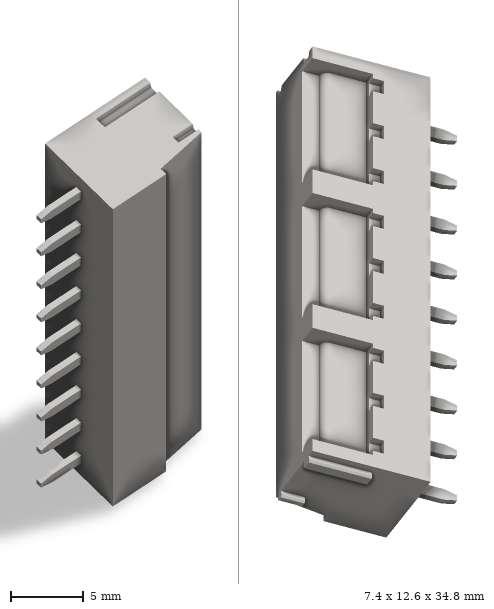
import cadquery as cq

pitch = 3.81
pin_count = 9
pins_per_window = 3

body_width = 7.4
body_depth = 9.0
body_height = pitch * pin_count
back_width = 6.15
taper_depth = 4.2
shoulder_width = 6.8

pin_length = 3.6
pin_width = 0.5
pin_height = 0.9
pin_tip_height = 0.45
pin_taper_length = 1.0
pin_x = body_width / 2

window_rib = 2.0
window_height = pins_per_window * pitch - window_rib
window_front_y = body_depth - 4.6
shallow_depth = 1.14
deep_depth = 1.75
deep_length = 1.28
step_radius = deep_depth - shallow_depth

notch_height = 1.1
notch_length = 0.85
notch_depth = 0.7

rail_projection = 0.55
rail_shoulder = 0.38
rail_length = 4.8
rail_flare = 0.12
rail_clearance = 0.03
groove_depth = 0.45
mouth_rounding_depth = 0.12
mouth_rounding_width = 0.07
mouth_rounding_radius = 0.12
groove_wall_inset = 0.09
wide_center_x = 1.05
wide_width = 1.05
wide_groove_length = 4.9
narrow_center_x = 5.5
narrow_width = 0.7
narrow_length = 1.8


def block(x_range, y_range, z_range):
    """Axis-aligned box given by its limits."""
    return (
        cq.Workplane("XY")
        .box(
            x_range[1] - x_range[0],
            y_range[1] - y_range[0],
            z_range[1] - z_range[0],
            centered=False,
        )
        .translate((x_range[0], y_range[0], z_range[0]))
    )


def make_body():
    """Prism with a tapered step along its +X side."""
    outline = [
        (0, 0),
        (body_width, 0),
        (body_width, body_depth - taper_depth),
        (shoulder_width, body_depth - taper_depth),
        (back_width, body_depth),
        (0, body_depth),
    ]
    return cq.Workplane("XY").polyline(outline).close().extrude(body_height)


def make_window(center_z):
    """Two-level recess whose floors meet over a rounded edge."""
    step_y = body_depth - deep_length
    return (
        cq.Workplane("XY")
        .moveTo(0, window_front_y)
        .lineTo(shallow_depth, window_front_y)
        .lineTo(shallow_depth, step_y - step_radius)
        .radiusArc((deep_depth, step_y), step_radius)
        .lineTo(deep_depth, body_depth)
        .lineTo(0, body_depth)
        .close()
        .extrude(window_height)
        .translate((0, 0, center_z - window_height / 2))
    )


def make_notch(center_z):
    """Pocket running from a window toward the pin side."""
    return block(
        (0, notch_depth),
        (window_front_y - notch_length, window_front_y),
        (center_z - notch_height / 2, center_z + notch_height / 2),
    )


def make_pin(center_z):
    """Flat pin with a tapered tip."""
    half = pin_height / 2
    half_tip = pin_tip_height / 2
    taper_y = pin_taper_length - pin_length
    outline = [
        (0, -half),
        (taper_y, -half),
        (-pin_length, -half_tip),
        (-pin_length, half_tip),
        (taper_y, half),
        (0, half),
    ]
    return (
        cq.Workplane("YZ")
        .polyline(outline)
        .close()
        .extrude(pin_width)
        .translate((pin_x - pin_width / 2, 0, center_z))
    )


def back_sketch():
    """XZ sketch on the back face; extruding it runs toward the pin side."""
    return cq.Workplane("XZ", origin=(0, body_depth, 0))


def make_rail(center_x, groove_width, length):
    """Rail under the body: flares out, then chamfers in at its bottom."""
    half = groove_width / 2 - rail_clearance
    half_neck = half - rail_flare
    outline = [
        (center_x - half_neck, 0),
        (center_x - half, -rail_shoulder),
        (center_x - half_neck, -rail_projection),
        (center_x + half_neck, -rail_projection),
        (center_x + half, -rail_shoulder),
        (center_x + half_neck, 0),
    ]
    return back_sketch().polyline(outline).close().extrude(length)


def make_groove(center_x, width, length):
    """Groove in the top end with rounded mouth edges and drafted walls."""
    half = width / 2
    half_wall = half - mouth_rounding_width
    half_floor = half_wall - groove_wall_inset
    wall_z = body_height - mouth_rounding_depth
    floor_z = body_height - groove_depth
    return (
        back_sketch()
        .moveTo(center_x - half, body_height)
        .radiusArc((center_x - half_wall, wall_z), mouth_rounding_radius)
        .lineTo(center_x - half_floor, floor_z)
        .lineTo(center_x + half_floor, floor_z)
        .lineTo(center_x + half_wall, wall_z)
        .radiusArc((center_x + half, body_height), mouth_rounding_radius)
        .close()
        .extrude(length)
    )


result = make_body()

window_pitch = pins_per_window * pitch
for window in range(pin_count // pins_per_window):
    result = result.cut(make_window((window + 0.5) * window_pitch))

for pin in range(pin_count):
    pin_z = (pin + 0.5) * pitch
    result = result.cut(make_notch(pin_z))
    result = result.union(make_pin(pin_z))

result = result.cut(make_groove(wide_center_x, wide_width, wide_groove_length))
result = result.cut(make_groove(narrow_center_x, narrow_width, narrow_length))
result = result.union(make_rail(wide_center_x, wide_width, rail_length))
result = result.union(make_rail(narrow_center_x, narrow_width, narrow_length))